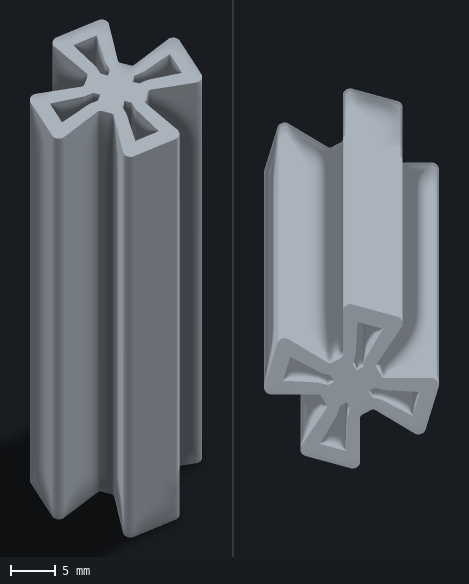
import cadquery as cq
import math

length = 71.7
tip_distance = 9.5

core_half = 3.6
floor_half = 0.85
flank_angle = 28.7
tip_radius = 0.85
valley_radius = 0.5

end_wall = 1.85
hollow_corner = 1.4
neck_start = 2.3
neck_length = 0.8
hollow_end_half = 1.5


def mirror_across_diagonal(point):
    return (point[1], point[0])


def rotate_quarters(point, quarters):
    x, y = point
    for _ in range(quarters):
        x, y = -y, x
    return (x, y)


def diagonal_point(along, across):
    """Point in the first quadrant, placed along and across the 45 degree arm axis."""
    return ((along - across) / math.sqrt(2), (along + across) / math.sqrt(2))


def sharp_tip():
    """Upper corner where a valley side meets the flat end of the arm."""
    slope = math.tan(math.radians(flank_angle))
    rise = (math.sqrt(2) * tip_distance - floor_half - core_half) / (1 + slope)
    return (floor_half + rise * slope, core_half + rise)


def axis_distance(edge):
    centre = edge.Center()
    return math.hypot(centre.x, centre.y)


def make_body():
    root = (floor_half, core_half)
    tip = sharp_tip()
    arm = [mirror_across_diagonal(root), mirror_across_diagonal(tip), tip, root]
    outline = [rotate_quarters(point, turn) for turn in range(4) for point in arm]
    body = cq.Workplane("XY").polyline(outline).close().extrude(length)

    root_limit = math.hypot(*root) + valley_radius
    edges = body.edges("|Z").vals()
    root_edges = [edge for edge in edges if axis_distance(edge) < root_limit]
    tip_edges = [edge for edge in edges if axis_distance(edge) > root_limit]
    body = body.newObject(tip_edges).fillet(tip_radius)
    return body.newObject(root_edges).fillet(valley_radius)


def make_hollows():
    upper_side = [
        (hollow_corner, neck_start),
        (hollow_corner + neck_length, neck_start + neck_length),
        diagonal_point(tip_distance - end_wall, hollow_end_half),
    ]
    lower_side = [mirror_across_diagonal(point) for point in reversed(upper_side)]
    outline = [(hollow_corner, hollow_corner)] + upper_side + lower_side
    hollow = cq.Workplane("XY").polyline(outline).close().extrude(length)
    hollows = hollow
    for turn in range(1, 4):
        hollows = hollows.union(hollow.rotate((0, 0, 0), (0, 0, 1), 90 * turn))
    return hollows


result = make_body().cut(make_hollows())